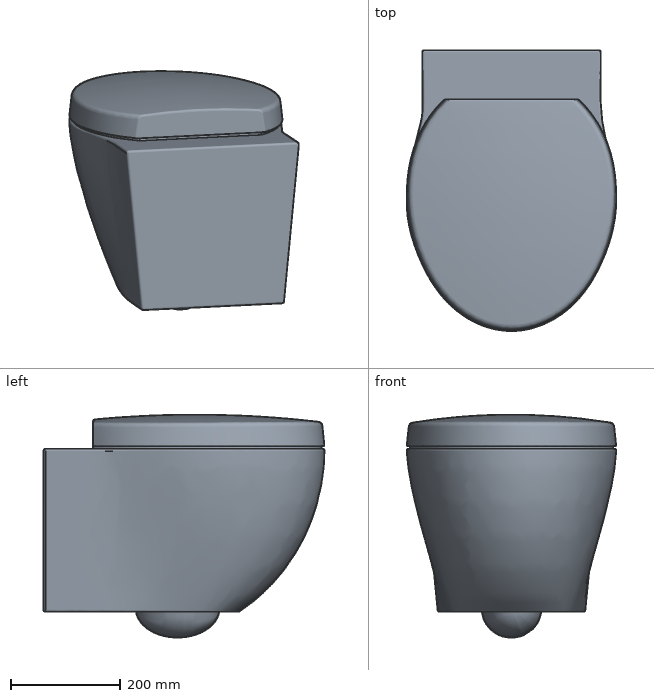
import cadquery as cq
import math


overall_height = 408.64

pan_height = 299.0
widest_half_width = 191.9
widest_y = -258.0
front_y = -514.58
nose_angles = (-30, -60, -90)
rear_radius = 218.0
wall_half_width_top = 164.0
wall_half_width_bottom = 135.0
bottom_front_y = -357.0
bottom_half_width = 114.0
bowl_narrowing_power = 1.45
keel_arc_fraction = 0.85
shoulder_y = -140.0
shoulder_swell = 0.15
pan_section_count = 6
pan_edge_radius = 4.5

outlet_radius = 55.0
outlet_drop = 47.3
outlet_half_length = 77.0
outlet_y = -245.5

lid_rise = overall_height - pan_height - outlet_drop
lid_back_y = -90.5
lid_bottom_z = 4.5
lid_side_slope = 0.1
seat_inset = 5.5
crown_y = -278.0
crown_radius_lengthwise = 1925.0
crown_radius_crosswise = 1120.0
lid_edge_radius = 9.0
lid_back_edge_radius = 4.5
lid_lower_edge_radius = 2.0
crown_overhang = 50.0


def keel_drop(share):
    """Part of an ellipse arc, 0 at the rim and 1 at the underside."""
    arc_end = 1 - math.sqrt(1 - keel_arc_fraction ** 2)
    return (1 - math.sqrt(1 - (keel_arc_fraction * share) ** 2)) / arc_end


def egg_point(angle, half_width, front_length, rear_length):
    """Point of an egg made of two half ellipses; 0 degrees is the widest point, -90 the nose."""
    length = front_length if angle < 0 else rear_length
    x = half_width * math.cos(math.radians(angle))
    y = widest_y + length * math.sin(math.radians(angle))
    return (x, y)


def mirrored(right_side):
    """Add the mirror images of points that end at the nose on X = 0."""
    return right_side + [(-x, y) for x, y in reversed(right_side[:-1])]


def pan_section(share):
    """Outline of the pan at a share of its depth."""
    wall = wall_half_width_top + share * (wall_half_width_bottom - wall_half_width_top)
    narrowing = (widest_half_width - bottom_half_width) * share ** bowl_narrowing_power
    bowl = widest_half_width - narrowing
    front = front_y + (bottom_front_y - front_y) * keel_drop(share)
    shoulder = wall + shoulder_swell * (bowl - wall)
    nose = [egg_point(a, bowl, widest_y - front, rear_radius) for a in (0,) + nose_angles]
    points = mirrored([(wall, 0), (shoulder, shoulder_y)] + nose)
    outline = cq.Workplane("XY", origin=(0, 0, -share * pan_height)).moveTo(wall, 0)
    return outline.spline(points[1:], tangents=[(0, -1), (0, 1)], includeCurrent=True).close()


def make_pan():
    shares = [i / (pan_section_count - 1) for i in range(pan_section_count)]
    wires = [pan_section(share).val() for share in shares]
    body = cq.Workplane(cq.Solid.makeLoft(wires))
    body = body.union(make_outlet())
    rim_and_wall_edges = body.faces(">Z or >Y").edges()
    underside_edge = body.edges(cq.selectors.LengthNthSelector(-2))
    return rim_and_wall_edges.add(underside_edge).fillet(pan_edge_radius)


def make_outlet():
    """Ellipsoid lying along Y, more than half sunk into the underside."""
    return (
        cq.Workplane("XY", origin=(0, outlet_y, outlet_radius - outlet_drop - pan_height))
        .ellipseArc(outlet_radius, outlet_half_length, -90, 90, startAtCurrent=False)
        .close()
        .revolve(360, (0, 0, 0), (0, 1, 0))
    )


def lid_section(inset, z):
    """Egg outline cut straight across at the back."""
    half_width = widest_half_width - inset
    front_length = widest_y - front_y - inset
    rear_length = rear_radius - inset
    back_angle = math.degrees(math.asin((lid_back_y - widest_y) / rear_length))
    angles = (back_angle, back_angle / 2, 0) + nose_angles
    points = mirrored([egg_point(a, half_width, front_length, rear_length) for a in angles])
    outline = cq.Workplane("XY", origin=(0, 0, z)).moveTo(*points[0])
    return outline.spline(points[1:], includeCurrent=True).close()


def make_crown():
    """Barrel whose upper skin is the lid's doubly curved top."""
    half_length = crown_y - front_y + crown_overhang
    sag = crown_radius_lengthwise - math.sqrt(crown_radius_lengthwise ** 2 - half_length ** 2)
    axis_z = lid_rise - crown_radius_crosswise
    return (
        cq.Workplane("YZ")
        .moveTo(crown_y - half_length, axis_z)
        .lineTo(crown_y - half_length, lid_rise - sag)
        .threePointArc((crown_y, lid_rise), (crown_y + half_length, lid_rise - sag))
        .lineTo(crown_y + half_length, axis_z)
        .close()
        .revolve(360, (crown_y, axis_z, 0), (crown_y + 1, axis_z, 0))
    )


def make_lid():
    seat = lid_section(seat_inset, 0).extrude(lid_bottom_z)
    lean = lid_side_slope * lid_rise
    wires = [lid_section(0, lid_bottom_z).val(), lid_section(lean, lid_rise).val()]
    cover = cq.Workplane(cq.Solid.makeLoft(wires)).intersect(make_crown())
    cover = cover.faces(">Z").edges("<Y").fillet(lid_edge_radius)
    cover = cover.faces(">Z").edges(">Y").fillet(lid_back_edge_radius)
    cover = cover.faces("<Z").edges().fillet(lid_lower_edge_radius)
    return cover.union(seat)


pan = make_pan()
lid = make_lid()
result = cq.Compound.makeCompound([pan.val(), lid.val()])